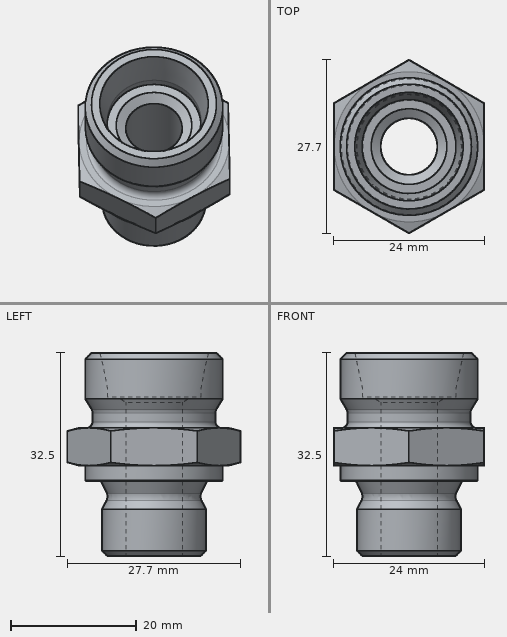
import cadquery as cq
import math

height = 32.5
hex_sides = 6
hex_flats = 24.02
hex_bottom = 14.5
hex_top = 20.5
hex_chamfer_angle = 15.0

body_radius = 22.0 / 2
top_chamfer = 1.0
body_bottom = 25.15
neck_radius = 19.7 / 2
neck_top = 23.25
neck_top_fillet = 1.0
neck_base_fillet = 1.0

collar_bottom = 12.0
collar_chamfer = 0.15
stud_radius = 16.67 / 2
stud_chamfer = 0.9
stud_top = 7.55
undercut_radius = 8.48
waist_radius = 7.28
waist_height = 9.52
waist_fillet = 1.25

mouth_radius = 8.68
socket_radius = 15.0 / 2
socket_depth = 7.0
cone_half_angle = 12.0
countersink_radius = 6.05
countersink_half_angle = 60.0
bore_radius = 9.0 / 2

selection_margin = 0.003


def tangent(angle):
    return math.tan(math.radians(angle))


def revolve_profile(points):
    """Revolve a closed (radius, height) outline about the Z axis."""
    return cq.Workplane("XZ").polyline(points).close().revolve(360, (0, 0, 0), (0, 1, 0))


def centered_box(half_width, level):
    """Select edges whose bounds fit a thin square slab centered on the Z axis."""
    return cq.selectors.BoxSelector(
        (-half_width, -half_width, level - selection_margin),
        (half_width, half_width, level + selection_margin),
        boundingbox=True,
    )


def edge_at(radius, level):
    """Select the full circular edge with the given radius and height."""
    outer = centered_box(radius + selection_margin, level)
    inner = centered_box(radius - selection_margin, level)
    return outer - inner


def make_turned_body():
    """Stepped round body, with both grooves and chamfered ends."""
    body = revolve_profile([
        (0, 0),
        (stud_radius - stud_chamfer, 0),
        (stud_radius, stud_chamfer),
        (stud_radius, stud_top),
        (waist_radius, waist_height),
        (undercut_radius, collar_bottom),
        (body_radius - collar_chamfer, collar_bottom),
        (body_radius, collar_bottom + collar_chamfer),
        (body_radius, hex_bottom),
        (hex_flats / 2, hex_bottom),
        (hex_flats / 2, hex_top),
        (neck_radius, hex_top),
        (neck_radius, neck_top),
        (body_radius, body_bottom),
        (body_radius, height - top_chamfer),
        (body_radius - top_chamfer, height),
        (0, height),
    ])
    body = body.edges(edge_at(waist_radius, waist_height)).fillet(waist_fillet)
    body = body.edges(edge_at(neck_radius, neck_top)).fillet(neck_top_fillet)
    return body.edges(edge_at(neck_radius, hex_top)).fillet(neck_base_fillet)


def make_hexagon():
    """Wrench hexagon with corners on the Y axis, beveled above and below."""
    corner_radius = hex_flats / math.sqrt(3)
    bevel_drop = (corner_radius - hex_flats / 2) * tangent(hex_chamfer_angle)
    prism = (
        cq.Workplane("XY", origin=(0, 0, hex_bottom))
        .polygon(hex_sides, 2 * corner_radius)
        .extrude(hex_top - hex_bottom)
        .rotate((0, 0, 0), (0, 0, 1), 180 / hex_sides)
    )
    bevel_envelope = revolve_profile([
        (0, hex_bottom),
        (hex_flats / 2, hex_bottom),
        (corner_radius, hex_bottom + bevel_drop),
        (corner_radius, hex_top - bevel_drop),
        (hex_flats / 2, hex_top),
        (0, hex_top),
    ])
    return prism.intersect(bevel_envelope)


def make_bore():
    """Tapered mouth, straight socket, countersink and through bore."""
    cone_depth = (mouth_radius - socket_radius) / tangent(cone_half_angle)
    countersink_depth = (countersink_radius - bore_radius) / tangent(countersink_half_angle)
    socket_floor = height - socket_depth
    return revolve_profile([
        (0, 0),
        (bore_radius, 0),
        (bore_radius, socket_floor - countersink_depth),
        (countersink_radius, socket_floor),
        (socket_radius, socket_floor),
        (socket_radius, height - cone_depth),
        (mouth_radius, height),
        (0, height),
    ])


result = make_turned_body().union(make_hexagon()).cut(make_bore())